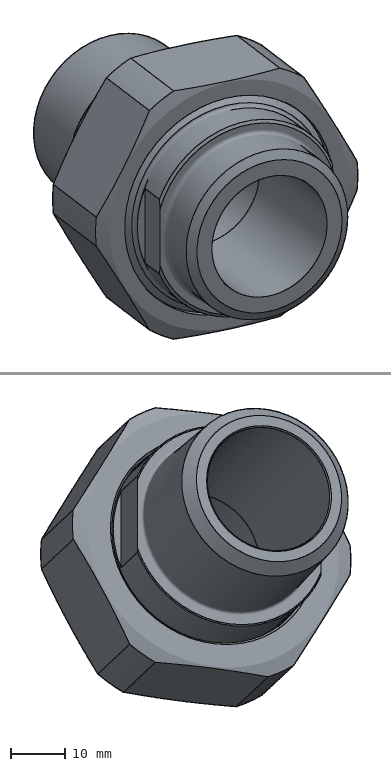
import cadquery as cq
import math


total_length = 64.0
bore_diameter = 24.0
bore_chamfer = 0.25

collar_diameter = 39.0
flats_width = 36.0
flat_wall_run = 0.15

nut_start = 29.5
nut_length = 18.5
nut_end = nut_start + nut_length

male_face_diameter = 28.5
male_chamfer_length = 2.1
taper_small_diameter = 32.7
taper_large_diameter = 33.8
male_collar_start = 21.0
male_fillet = 0.5
male_rim_axial = 0.15
male_rim_radial = 0.25
male_flat_overlap = 0.4
male_flat_end = nut_start + male_flat_overlap
flange_diameter = 43.0
flange_thickness = 4.0

nut_across_flats = 50.0
corner_to_y = 30.0
nut_corner_diameter = 54.68
nut_face_diameter = 49.5
nut_chamfer_length = 0.8
nut_lip_diameter = 39.5
nut_lip_length = 4.0
nut_lip_chamfer = 0.45
nut_thread_diameter = 43.38

plain_diameter = 33.7
plain_collar_end = 55.0
plain_fillet = 0.75
plain_rim_axial = 0.35
plain_rim_radial = 0.6
plain_chamfer_length = 1.0
plain_chamfer_angle = 30.0
plain_chamfer_depth = plain_chamfer_length / math.tan(math.radians(plain_chamfer_angle))
head_protrusion = 0.08
plain_collar_start = nut_end + head_protrusion
plain_flat_start = plain_collar_start + plain_fillet

flange_start = nut_start + nut_lip_length
joint_face = flange_start + flange_thickness

bore_radius = bore_diameter / 2
collar_radius = collar_diameter / 2
thread_radius = nut_thread_diameter / 2
head_crest_radius = collar_radius + plain_fillet
head_chamfer = thread_radius - head_crest_radius
plain_radius = plain_diameter / 2
cos45 = math.cos(math.radians(45))


def revolve_about_x(profile):
    """Revolve a closed profile drawn as (x, radius) about the X axis."""
    return profile.close().revolve(360, (0, 0, 0), (1, 0, 0))


def wrench_flats(body, open_end, closed_end):
    """Cut two flats facing -Y and +Y; the wall at closed_end leans away from the flat."""
    half_width = flats_width / 2
    cut_top = 2 * half_width
    lean = math.copysign(flat_wall_run, closed_end - open_end)
    for side in (-1, 1):
        cutter = (
            cq.Workplane("XY")
            .moveTo(open_end, side * half_width)
            .lineTo(closed_end - lean, side * half_width)
            .lineTo(closed_end, side * collar_radius)
            .lineTo(closed_end, side * cut_top)
            .lineTo(open_end, side * cut_top)
            .close()
            .extrude(collar_radius, both=True)
        )
        body = body.cut(cutter)
    return body


def make_male_tail():
    """Tapered male tail with a collar and a flange that the nut lip pulls on."""
    taper_radius = taper_large_diameter / 2
    fillet_middle = male_fillet * (1 - cos45)
    body = revolve_about_x(
        cq.Workplane("XY")
        .moveTo(0, bore_radius + bore_chamfer)
        .lineTo(0, male_face_diameter / 2)
        .lineTo(male_chamfer_length, taper_small_diameter / 2)
        .lineTo(male_collar_start - male_fillet, taper_radius)
        .threePointArc(
            (male_collar_start - fillet_middle, taper_radius + fillet_middle),
            (male_collar_start, taper_radius + male_fillet),
        )
        .lineTo(male_collar_start, collar_radius - male_rim_radial)
        .lineTo(male_collar_start + male_rim_axial, collar_radius)
        .lineTo(flange_start, collar_radius)
        .lineTo(flange_start, flange_diameter / 2)
        .lineTo(joint_face, flange_diameter / 2)
        .lineTo(joint_face, bore_radius)
        .lineTo(bore_chamfer, bore_radius)
    )
    return wrench_flats(body, male_collar_start, male_flat_end)


def make_plain_tail():
    """Tail with the threaded head inside the nut, a collar and a plain pipe end."""
    fillet_middle = plain_fillet * (1 - cos45)
    body = revolve_about_x(
        cq.Workplane("XY")
        .moveTo(joint_face, bore_radius)
        .lineTo(joint_face, thread_radius)
        .lineTo(plain_collar_start - head_chamfer, thread_radius)
        .lineTo(plain_collar_start, head_crest_radius)
        .threePointArc(
            (plain_collar_start + fillet_middle, collar_radius + fillet_middle),
            (plain_collar_start + plain_fillet, collar_radius),
        )
        .lineTo(plain_collar_end - plain_rim_axial, collar_radius)
        .lineTo(plain_collar_end, collar_radius - plain_rim_radial)
        .lineTo(plain_collar_end, plain_radius + plain_fillet)
        .threePointArc(
            (plain_collar_end + fillet_middle, plain_radius + fillet_middle),
            (plain_collar_end + plain_fillet, plain_radius),
        )
        .lineTo(total_length - plain_chamfer_length, plain_radius)
        .lineTo(total_length, plain_radius - plain_chamfer_depth)
        .lineTo(total_length, bore_radius)
    )
    return wrench_flats(body, plain_collar_end, plain_flat_start)


def make_nut():
    """Hexagon nut with flats facing -Z and +Z, rounded corners and a lip at its low-X end."""
    corner_radius = nut_corner_diameter / 2
    face_radius = nut_face_diameter / 2
    lip_radius = nut_lip_diameter / 2
    envelope = revolve_about_x(
        cq.Workplane("XY")
        .moveTo(nut_start, lip_radius + nut_lip_chamfer)
        .lineTo(nut_start, face_radius)
        .lineTo(nut_start + nut_chamfer_length, corner_radius)
        .lineTo(nut_end - nut_chamfer_length, corner_radius)
        .lineTo(nut_end, face_radius)
        .lineTo(nut_end, thread_radius)
        .lineTo(flange_start, thread_radius)
        .lineTo(flange_start, lip_radius)
        .lineTo(nut_start + nut_lip_chamfer, lip_radius)
    )
    hexagon = (
        cq.Workplane("YZ", origin=(nut_start, 0, 0))
        .polygon(6, nut_across_flats, circumscribed=True)
        .extrude(nut_length)
        .rotate((0, 0, 0), (1, 0, 0), corner_to_y)
    )
    return envelope.intersect(hexagon)


male_tail = make_male_tail()
plain_tail = make_plain_tail()
nut = make_nut()

result = cq.Compound.makeCompound([male_tail.val(), plain_tail.val(), nut.val()])